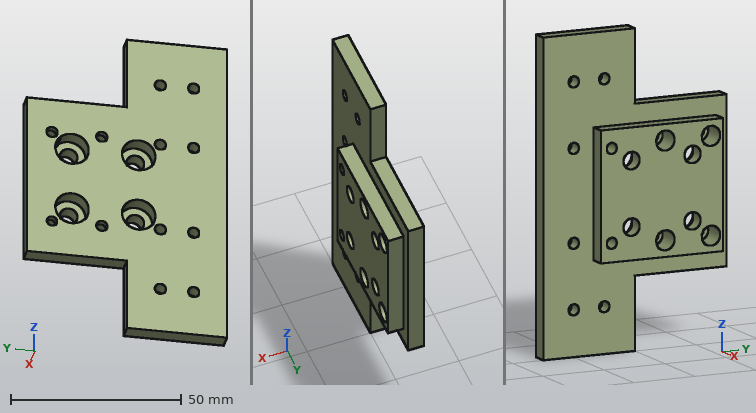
import cadquery as cq

plate_thickness = 5.0
plate_width = 60.0
plate_height = 97.0
wing_width = plate_width / 2
wing_height = 51.7

total_thickness = 10.0
pad_size = 40.0
pad_center_y = 36.5

bore_spacing = 20.0
bore_diameter = 5.2
counterbore_diameter = 10.0
counterbore_depth = 5.0

mount_diameter = 3.3
mount_columns = (10.0, 20.0)
mount_group_offset = 24.25
mount_pitch = 20.0

screw_diameter = 3.3
tight_screw_diameter = 3.0
screw_head_diameter = 6.0
screw_head_depth = 8.0
screw_spacing_y = 14.9
screw_spacing_z = 30.0
screw_edge_distance = 7.6


def cylinders(points, diameter, start_x, end_x):
    """Cylinders along X at the given (y, z) points."""
    return (
        cq.Workplane("YZ", origin=(start_x, 0, 0))
        .pushPoints(points)
        .circle(diameter / 2)
        .extrude(end_x - start_x)
    )


def rectangle_points(center_y, spacing_y, spacing_z):
    """Corners of a rectangle centred on Z = 0."""
    return [
        (center_y + side_y * spacing_y / 2, side_z * spacing_z / 2)
        for side_y in (-1, 1)
        for side_z in (-1, 1)
    ]


def box(thickness, width, height, min_y):
    """Block from X = 0 and Y = min_y, centred on Z = 0."""
    return cq.Workplane("XY").box(
        thickness, width, height, centered=(False, False, True)
    ).translate((0, min_y, 0))


tall_plate = box(plate_thickness, plate_width - wing_width, plate_height, 0)
wing = box(plate_thickness, plate_width, wing_height, 0)
pad = box(total_thickness, pad_size, pad_size, pad_center_y - pad_size / 2)
body = tall_plate.union(wing).union(pad)

bore_points = rectangle_points(pad_center_y, bore_spacing, bore_spacing)
body = body.cut(cylinders(bore_points, bore_diameter, 0, total_thickness))
body = body.cut(cylinders(bore_points, counterbore_diameter, 0, counterbore_depth))

mount_points = [
    (y, group_z + side * mount_pitch / 2)
    for y in mount_columns
    for group_z in (-mount_group_offset, mount_group_offset)
    for side in (-1, 1)
]
body = body.cut(cylinders(mount_points, mount_diameter, 0, total_thickness))

screw_center_y = plate_width - screw_edge_distance - screw_spacing_y / 2
screw_points = rectangle_points(screw_center_y, screw_spacing_y, screw_spacing_z)
screw_head_floor = total_thickness - screw_head_depth
*clearance_points, tight_point = sorted(screw_points, key=lambda point: point[0] - point[1])
body = body.cut(cylinders(clearance_points, screw_diameter, 0, total_thickness))
body = body.cut(cylinders([tight_point], tight_screw_diameter, 0, total_thickness))
body = body.cut(
    cylinders(screw_points, screw_head_diameter, screw_head_floor, total_thickness)
)

result = body